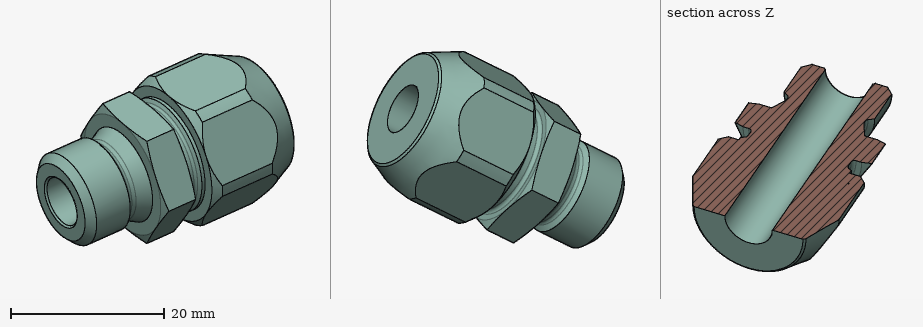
import cadquery as cq
import math


TOTAL_LENGTH = 32.0

THREAD_RADIUS = 6.53
THREAD_CHAMFER = 1.1
THREAD_END = 6.5
UNDERCUT_START = 6.98
UNDERCUT_BOTTOM = 7.45
UNDERCUT_BOTTOM_RADIUS = 5.57
UNDERCUT_THREAD_FILLET = 0.65
UNDERCUT_SEAT_FILLET = 1.28
SEAT_START = 8.03
SEAT_LARGE_RADIUS = 6.7

BODY_HEX_START = 10.0
BODY_HEX_LENGTH = 5.02
BODY_HEX_ACROSS_FLATS = 17.02
BODY_HEX_CHAMFER_ANGLE = 15.0

NECK_RADIUS = 7.23
NECK_FILLET = 0.48
COLLAR_RADIUS = 8.0
COLLAR_START = 17.0
COLLAR_FLANK_ANGLE = 60.0

NUT_START = 17.5
NUT_ACROSS_FLATS = 19.0
NUT_CORNER_RADIUS = 10.5
NUT_CHAMFER = 1.0
NUT_CONE_START = 26.55
NUT_CONE_ANGLE = 24.5
NUT_RIM_WIDTH = 0.32
NUT_RIM_HEIGHT = 0.25

BORE_RADIUS = 3.4
BORE_CHAMFER = 0.25

HEX_HALF_ANGLE = math.radians(30)
BODY_HEX_END = BODY_HEX_START + BODY_HEX_LENGTH


def revolve_about_y(profile):
    return profile.close().revolve(360, (0, 0, 0), (0, 1, 0))


def hex_prism(across_flats, start, end):
    """Hexagonal bar along Y with two corners on the X axis."""
    across_corners = across_flats / math.cos(HEX_HALF_ANGLE)
    plane = cq.Plane(origin=(0, start, 0), xDir=(1, 0, 0), normal=(0, 1, 0))
    return cq.Workplane(plane).polygon(6, across_corners).extrude(end - start)


def undercut_radius(y, fillet):
    """Distance from the axis to the undercut at a place along Y, for a fillet level at its bottom."""
    rise = fillet - math.sqrt(fillet**2 - (y - UNDERCUT_BOTTOM) ** 2)
    return UNDERCUT_BOTTOM_RADIUS + rise


def turned_core():
    """Thread, undercut, conical seat, neck and collar as one turned shape."""
    flank_angle = math.radians(COLLAR_FLANK_ANGLE)
    fillet_rise = NECK_FILLET * math.sin(flank_angle)
    fillet_width = NECK_FILLET * (1 - math.cos(flank_angle))
    flank_start_radius = NECK_RADIUS + fillet_width
    flank_start = COLLAR_START - (COLLAR_RADIUS - flank_start_radius) / math.tan(flank_angle)

    undercut_start_radius = undercut_radius(UNDERCUT_START, UNDERCUT_THREAD_FILLET)
    seat_start_radius = undercut_radius(SEAT_START, UNDERCUT_SEAT_FILLET)

    profile = (
        cq.Workplane("XY")
        .lineTo(THREAD_RADIUS - THREAD_CHAMFER, 0)
        .lineTo(THREAD_RADIUS, THREAD_CHAMFER)
        .lineTo(THREAD_RADIUS, THREAD_END)
        .lineTo(undercut_start_radius, UNDERCUT_START)
        .radiusArc((UNDERCUT_BOTTOM_RADIUS, UNDERCUT_BOTTOM), UNDERCUT_THREAD_FILLET)
        .radiusArc((seat_start_radius, SEAT_START), UNDERCUT_SEAT_FILLET)
        .lineTo(SEAT_LARGE_RADIUS, BODY_HEX_START)
        .lineTo(SEAT_LARGE_RADIUS, BODY_HEX_END)
        .lineTo(NECK_RADIUS + NECK_FILLET, BODY_HEX_END)
        .radiusArc((NECK_RADIUS, BODY_HEX_END + NECK_FILLET), NECK_FILLET)
        .lineTo(NECK_RADIUS, flank_start - fillet_rise)
        .tangentArcPoint((flank_start_radius, flank_start), relative=False)
        .lineTo(COLLAR_RADIUS, COLLAR_START)
        .lineTo(COLLAR_RADIUS, NUT_START)
        .lineTo(0, NUT_START)
    )
    return revolve_about_y(profile)


def body_hexagon():
    """Hexagon with its corners chamfered at both ends, starting from the flats."""
    flat_radius = BODY_HEX_ACROSS_FLATS / 2
    corner_radius = flat_radius / math.cos(HEX_HALF_ANGLE)
    chamfer_height = (corner_radius - flat_radius) * math.tan(math.radians(BODY_HEX_CHAMFER_ANGLE))
    envelope = revolve_about_y(
        cq.Workplane("XY")
        .moveTo(0, BODY_HEX_START)
        .lineTo(flat_radius, BODY_HEX_START)
        .lineTo(corner_radius, BODY_HEX_START + chamfer_height)
        .lineTo(corner_radius, BODY_HEX_END - chamfer_height)
        .lineTo(flat_radius, BODY_HEX_END)
        .lineTo(0, BODY_HEX_END)
    )
    return hex_prism(BODY_HEX_ACROSS_FLATS, BODY_HEX_START, BODY_HEX_END).intersect(envelope)


def union_nut():
    """Hexagon with turned corners, a chamfer towards the body and a long cone at the far end."""
    cone_end = TOTAL_LENGTH - NUT_RIM_HEIGHT
    cone_end_radius = NUT_CORNER_RADIUS - (cone_end - NUT_CONE_START) * math.tan(math.radians(NUT_CONE_ANGLE))
    envelope = revolve_about_y(
        cq.Workplane("XY")
        .moveTo(0, NUT_START)
        .lineTo(NUT_CORNER_RADIUS - NUT_CHAMFER, NUT_START)
        .lineTo(NUT_CORNER_RADIUS, NUT_START + NUT_CHAMFER)
        .lineTo(NUT_CORNER_RADIUS, NUT_CONE_START)
        .lineTo(cone_end_radius, cone_end)
        .lineTo(cone_end_radius - NUT_RIM_WIDTH, TOTAL_LENGTH)
        .lineTo(0, TOTAL_LENGTH)
    )
    return hex_prism(NUT_ACROSS_FLATS, NUT_START, TOTAL_LENGTH).intersect(envelope)


def bore():
    """Through bore with a small chamfer at the threaded end."""
    return revolve_about_y(
        cq.Workplane("XY")
        .lineTo(BORE_RADIUS + BORE_CHAMFER, 0)
        .lineTo(BORE_RADIUS, BORE_CHAMFER)
        .lineTo(BORE_RADIUS, TOTAL_LENGTH)
        .lineTo(0, TOTAL_LENGTH)
    )


result = turned_core().union(body_hexagon()).union(union_nut()).cut(bore())